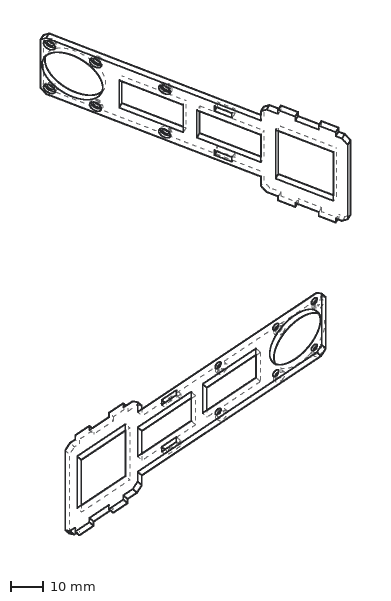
import cadquery as cq

LENGTH = 106.5
THICKNESS = 2.0
CORNER_CHAMFER = 2.0

ARM_LENGTH = 76.4
ARM_HEIGHT = 28.5
HEAD_HEIGHT = 42.0
HEAD_LENGTH = LENGTH - ARM_LENGTH

TAB_WIDTH = 6.0
TAB_HEIGHT = 2.0
TAB_PITCH = 14.1
FIRST_TAB_X = ARM_LENGTH + TAB_WIDTH

ROUND_OPENING_DIAMETER = 21.0
ROUND_OPENING_X = 11.1

SCREW_X = (3.1, 19.1, 43.0)
SCREW_Z = 11.1
SCREW_DIAMETER = 2.5
COUNTERBORE_DIAMETER = 4.0
COUNTERBORE_DEPTH = THICKNESS / 2

ARM_OPENING_WIDTH = 22.2
ARM_OPENING_HEIGHT = 13.8
ARM_OPENING_STARTS = (27.3, ARM_LENGTH - ARM_OPENING_WIDTH)

WINDOW_WIDTH = 20.0
WINDOW_HEIGHT = 24.7
WINDOW_START = 81.5

SLOT_WIDTH = 6.1
SLOT_HEIGHT = 2.3
SLOT_START = 60.3
SLOT_Z = (WINDOW_HEIGHT - SLOT_HEIGHT) / 2


def block(start_x, width, height, center_z=0.0):
    """Rectangular block through the full plate thickness."""
    return cq.Workplane("XY").box(width, THICKNESS, height).translate(
        (start_x + width / 2, THICKNESS / 2, center_z)
    )


def cylinder(x, z, diameter, depth):
    """Cylinder running from the front face into the plate."""
    axis = cq.Vector(0, 1, 0)
    return cq.Workplane(cq.Solid.makeCylinder(diameter / 2, depth, cq.Vector(x, 0, z), axis))


arm = block(0, ARM_LENGTH, ARM_HEIGHT).edges("|Y and <X").chamfer(CORNER_CHAMFER)
head = block(ARM_LENGTH, HEAD_LENGTH, HEAD_HEIGHT).edges("|Y").chamfer(CORNER_CHAMFER)
plate = arm.union(head)

for side in (-1, 1):
    for tab_x in (FIRST_TAB_X, FIRST_TAB_X + TAB_PITCH):
        tab_z = side * (HEAD_HEIGHT + TAB_HEIGHT) / 2
        plate = plate.union(block(tab_x, TAB_WIDTH, TAB_HEIGHT, tab_z))

plate = plate.cut(cylinder(ROUND_OPENING_X, 0, ROUND_OPENING_DIAMETER, THICKNESS))
for opening_x in ARM_OPENING_STARTS:
    plate = plate.cut(block(opening_x, ARM_OPENING_WIDTH, ARM_OPENING_HEIGHT))
plate = plate.cut(block(WINDOW_START, WINDOW_WIDTH, WINDOW_HEIGHT))

for side in (-1, 1):
    plate = plate.cut(block(SLOT_START, SLOT_WIDTH, SLOT_HEIGHT, side * SLOT_Z))
    for screw_x in SCREW_X:
        plate = plate.cut(cylinder(screw_x, side * SCREW_Z, SCREW_DIAMETER, THICKNESS))
        plate = plate.cut(cylinder(screw_x, side * SCREW_Z, COUNTERBORE_DIAMETER, COUNTERBORE_DEPTH))

result = plate